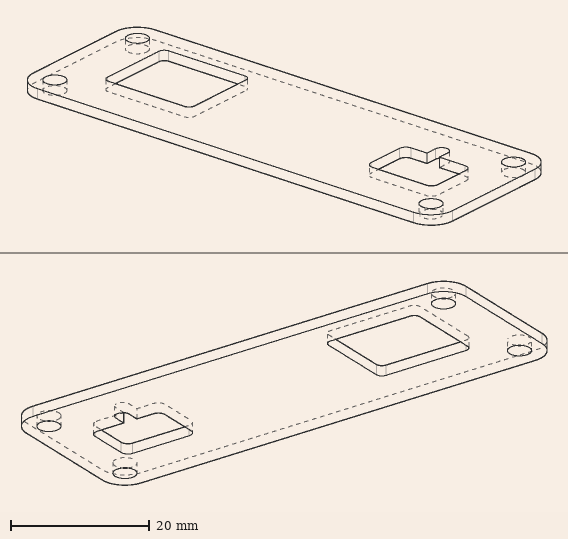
import cadquery as cq

plate_length = 78.02
plate_width = 27.02
plate_thickness = 1.67
corner_radius = 4.0

hole_diameter = 3.5
hole_spacing_x = plate_length - 2 * corner_radius
hole_spacing_y = plate_width - 2 * corner_radius

large_window_length = 16.2
large_window_width = 13.9
large_window_center = (-21.6, 1.95)
large_window_radius = 1.0

small_window_length = 12.4
small_window_width = 8.9
small_window_center = (25.3, -0.35)
small_window_radius = 1.2

notch_width = 2.3
notch_center_x = 24.4
notch_tip_y = 7.2


def rounded_block(length, width, radius, center=(0, 0)):
    """Block of plate thickness with rounded vertical edges."""
    return (
        cq.Workplane("XY")
        .center(*center)
        .box(length, width, plate_thickness)
        .edges("|Z")
        .fillet(radius)
    )


def mounting_holes():
    """Four round cutters, one at each corner of the hole rectangle."""
    return (
        cq.Workplane("XY")
        .rect(hole_spacing_x, hole_spacing_y, forConstruction=True)
        .vertices()
        .circle(hole_diameter / 2)
        .extrude(plate_thickness / 2, both=True)
    )


def notch():
    """Round-ended cutter running from the middle of the small window to the notch tip."""
    notch_radius = notch_width / 2
    start_y = small_window_center[1]
    arc_start_y = notch_tip_y - notch_radius
    return (
        cq.Workplane("XY")
        .moveTo(notch_center_x - notch_radius, start_y)
        .lineTo(notch_center_x + notch_radius, start_y)
        .lineTo(notch_center_x + notch_radius, arc_start_y)
        .threePointArc(
            (notch_center_x, notch_tip_y),
            (notch_center_x - notch_radius, arc_start_y),
        )
        .close()
        .extrude(plate_thickness / 2, both=True)
    )


plate = rounded_block(plate_length, plate_width, corner_radius)
large_window = rounded_block(
    large_window_length, large_window_width, large_window_radius, large_window_center
)
small_window = rounded_block(
    small_window_length, small_window_width, small_window_radius, small_window_center
)

result = plate.cut(mounting_holes()).cut(large_window).cut(small_window).cut(notch())